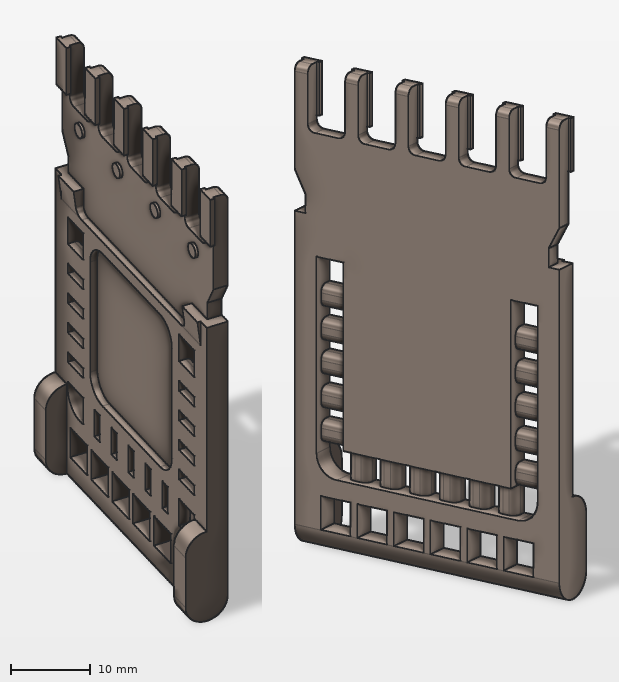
import cadquery as cq

frame_width = 40.0
frame_top = 44.5
foot_depth = 6.0
frame_depth = foot_depth / 2
foot_radius = foot_depth / 2
foot_top = 13.6
foot_width = 3.1

part_height = 64.0
tongue_depth = 2.05
neck_width = 36.75
shoulder_bottom = 47.0
shoulder_top = 50.0

finger_count = 6
finger_width = 2.0
finger_base = 55.35
finger_root_radius = 1.0
finger_tip_radius = 1.0
finger_pitch = (frame_width - finger_width) / (finger_count - 1)
pad_overhang = 0.35
pad_width = finger_width + 2 * pad_overhang
pad_bottom = 56.9
pad_depth = 0.65

stud_count = 4
stud_pitch = 10.0
stud_height = 53.0
stud_diameter = 2.0
stud_depth = 0.4

notch_width = 28.7
notch_bottom = 40.8
notch_radius = 1.2
wedge_depth = 0.45

pocket_width = 21.6
pocket_top = 39.05
pocket_bottom = 15.95
pocket_radius = 3.2
pocket_depth = 1.0

channel_width = 4.0
channel_spacing = 29.4
channel_top = 39.05
channel_bottom = 10.05
channel_corner_radius = 3.0
web_depth = 2.0
web_edge_radius = 1.0
slot_width = 1.5
slot_pitch = 4.5

window_count = 6
window_size = 4.5
window_row_width = 32.1
window_bottom = foot_radius
window_pitch = (window_row_width - window_size) / (window_count - 1)


def block(width, front, back, bottom, top, x=0.0):
    """Box centred on x, reaching from the front to the back distance off the back plane."""
    return (
        cq.Workplane("XY")
        .box(width, front - back, top - bottom)
        .translate((x, -(front + back) / 2, (bottom + top) / 2))
    )


def row(count, pitch, middle=0.0):
    """Evenly spaced places on either side of the middle."""
    return [middle + (i - (count - 1) / 2) * pitch for i in range(count)]


def make_frame():
    """Plate with a rounded lower end and a thicker foot at each side."""
    side = (
        cq.Workplane("YZ")
        .moveTo(0, frame_top)
        .lineTo(0, foot_radius)
        .radiusArc((-foot_radius, 0), foot_radius)
        .radiusArc((-foot_depth, foot_radius), foot_radius)
        .lineTo(-foot_depth, foot_top - foot_radius)
        .radiusArc((-frame_depth, foot_top), foot_radius)
        .lineTo(-frame_depth, frame_top)
        .close()
        .extrude(frame_width / 2, both=True)
    )
    between_feet = block(frame_width - 2 * foot_width, foot_depth, frame_depth, 0, foot_top)
    return side.cut(between_feet)


def make_wedges():
    """Tabs beside the notch that lean out of the front face toward the top."""
    wedges = (
        cq.Workplane("YZ")
        .moveTo(-tongue_depth, notch_bottom)
        .lineTo(-frame_depth, notch_bottom)
        .lineTo(-frame_depth - wedge_depth, frame_top)
        .lineTo(-tongue_depth, frame_top)
        .close()
        .extrude(neck_width / 2, both=True)
    )
    return wedges


def make_notch():
    """Opening over the tongue, with rounded lower corners."""
    notch_front = frame_depth + wedge_depth
    above = notch_radius
    notch = block(notch_width, notch_front, tongue_depth, notch_bottom, frame_top + above)
    return notch.edges("|Y and <Z").fillet(notch_radius)


def make_tongue():
    """Plate that narrows to a neck and ends in a row of fingers."""
    tongue = (
        cq.Workplane("XZ")
        .moveTo(-neck_width / 2, notch_bottom)
        .lineTo(-neck_width / 2, shoulder_bottom)
        .lineTo(-frame_width / 2, shoulder_top)
        .lineTo(-frame_width / 2, part_height)
        .lineTo(frame_width / 2, part_height)
        .lineTo(frame_width / 2, shoulder_top)
        .lineTo(neck_width / 2, shoulder_bottom)
        .lineTo(neck_width / 2, notch_bottom)
        .close()
        .extrude(tongue_depth)
    )
    tongue = tongue.edges(">Y and >Z").fillet(finger_tip_radius)
    gap_width = finger_pitch - finger_width
    for x in row(finger_count - 1, finger_pitch):
        gap = block(gap_width, tongue_depth, 0, finger_base, part_height, x)
        tongue = tongue.cut(gap.edges("|Y and <Z").fillet(finger_root_radius))
    return tongue


def add_pads_and_studs(body):
    """Contact pads on the finger fronts and round studs below them."""
    for x in row(finger_count, finger_pitch):
        body = body.union(block(pad_width, tongue_depth + pad_depth, tongue_depth, pad_bottom, part_height, x))
    studs = (
        cq.Workplane("XZ")
        .pushPoints([(x, stud_height) for x in row(stud_count, stud_pitch)])
        .circle(stud_diameter / 2)
        .extrude(tongue_depth + stud_depth)
    )
    return body.union(studs)


def cut_pocket(body):
    """Rounded pocket in the middle of the front face."""
    pocket = block(pocket_width, frame_depth, frame_depth - pocket_depth, pocket_bottom, pocket_top)
    return body.cut(pocket.edges("|Y").fillet(pocket_radius))


def make_channel():
    """U-shaped channel through the frame, rounded at its outer lower corners."""
    outer = block(channel_spacing + channel_width, frame_depth, 0, channel_bottom, channel_top)
    outer = outer.edges("|Y and <Z").fillet(channel_corner_radius)
    inner_bottom = channel_bottom + channel_width
    inner = block(channel_spacing - channel_width, frame_depth, 0, inner_bottom, channel_top)
    return outer.cut(inner)


def web_spans(start, end):
    """Low and high ends of the web bars left between evenly spaced slots from start to end."""
    slot_count = round((end - start) / slot_pitch) - 1
    slots = row(slot_count, slot_pitch, (start + end) / 2)
    lows = [start] + [slot + slot_width / 2 for slot in slots]
    highs = [slot - slot_width / 2 for slot in slots] + [end]
    return list(zip(lows, highs))


def add_web_bars(body):
    """Bars across the front of the channel, with their edges toward the back rounded."""
    web_back = frame_depth - web_depth
    corner_top = channel_bottom + channel_width
    column = channel_spacing / 2
    for low, high in web_spans(corner_top, channel_top - channel_width):
        for x in (-column, column):
            bar = block(channel_width, frame_depth, web_back, low, high, x)
            body = body.union(bar.edges("|X and >Y").fillet(web_edge_radius))
    corner_inside = column - channel_width / 2
    for left, right in web_spans(-corner_inside, corner_inside):
        bar = block(right - left, frame_depth, web_back, channel_bottom, corner_top, (left + right) / 2)
        body = body.union(bar.edges("|Z and >Y").fillet(web_edge_radius))
    return body


def cut_lower_windows(body):
    """Row of square windows between the feet."""
    for x in row(window_count, window_pitch):
        body = body.cut(
            block(window_size, frame_depth, 0, window_bottom, window_bottom + window_size, x)
        )
    return body


result = make_frame().union(make_wedges()).cut(make_notch())
result = result.union(make_tongue())
result = add_pads_and_studs(result)
result = cut_pocket(result)
result = result.cut(make_channel())
result = add_web_bars(result)
result = cut_lower_windows(result)